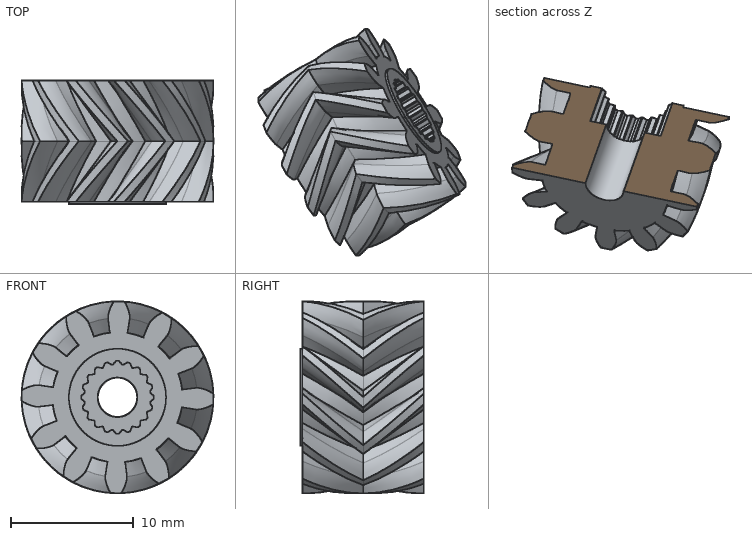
import cadquery as cq
import math


TOOTH_COUNT = 12
TIP_RADIUS = 7.83
MODULE = 2 * TIP_RADIUS / (TOOTH_COUNT + 2)
PITCH_RADIUS = MODULE * TOOTH_COUNT / 2
ROOT_RADIUS = PITCH_RADIUS - 1.25 * MODULE
PRESSURE_ANGLE = math.radians(14.5)
BASE_RADIUS = PITCH_RADIUS * math.cos(PRESSURE_ANGLE)
TOOTH_PITCH = 2 * math.pi / TOOTH_COUNT
INVOLUTE_STEPS = 6

TOTAL_LENGTH = 10.09
BOSS_HEIGHT = 0.19
FACE_WIDTH = TOTAL_LENGTH - BOSS_HEIGHT
HALF_WIDTH = FACE_WIDTH / 2
HALF_TWIST = 32.0
MIDDLE_PHASE = 33.0

BOSS_DIAMETER = 7.92
HOLE_DIAMETER = 3.2
SPLINE_COUNT = 20
SPLINE_BORE_RADIUS = 2.7
SPLINE_GROOVE_RADIUS = 2.96
GROOVE_FLOOR_WIDTH = 0.22
GROOVE_MOUTH_WIDTH = 0.75
SPLINE_DEPTH = 3.6


def polar(radius, angle):
    """Point at an angle (radians) measured counterclockwise from +Z, seen from -Y."""
    return (-radius * math.sin(angle), radius * math.cos(angle))


def involute_angle(radius):
    """Polar angle swept by the base-circle involute when it reaches a radius."""
    pressure = math.acos(BASE_RADIUS / radius)
    return math.tan(pressure) - pressure


BASE_HALF_ANGLE = TOOTH_PITCH / 4 + involute_angle(PITCH_RADIUS)


def flank(center, side):
    """Involute points from the base circle to the tip, on side -1 or +1 of a tooth."""
    points = []
    for step in range(INVOLUTE_STEPS + 1):
        radius = BASE_RADIUS + (TIP_RADIUS - BASE_RADIUS) * step / INVOLUTE_STEPS
        half_angle = BASE_HALF_ANGLE - involute_angle(radius)
        points.append(polar(radius, center + side * half_angle))
    return points


def gear_outline(workplane):
    """Closed outline of all teeth: radial below the base circle, involute above it."""
    start = -BASE_HALF_ANGLE
    outline = workplane.moveTo(*polar(ROOT_RADIUS, start))
    for tooth in range(TOOTH_COUNT):
        center = tooth * TOOTH_PITCH
        rising = flank(center, -1)
        falling = flank(center, 1)[::-1]
        next_start = center + TOOTH_PITCH - BASE_HALF_ANGLE
        outline = (
            outline.lineTo(*rising[0])
            .spline(rising[1:], includeCurrent=True)
            .threePointArc(polar(TIP_RADIUS, center), falling[0])
            .spline(falling[1:], includeCurrent=True)
            .lineTo(*polar(ROOT_RADIUS, center + BASE_HALF_ANGLE))
            .threePointArc(polar(ROOT_RADIUS, center + TOOTH_PITCH / 2), polar(ROOT_RADIUS, next_start))
        )
    return outline.close()


def herringbone_body():
    """Two mirrored helical halves that meet at the plane Y = 0."""
    front_half = gear_outline(cq.Workplane("XZ")).twistExtrude(HALF_WIDTH, HALF_TWIST)
    front_half = front_half.rotate((0, 0, 0), (0, 1, 0), MIDDLE_PHASE)
    return front_half.union(front_half.mirror("XZ"))


def front_boss():
    return cq.Workplane("XZ", origin=(0, -HALF_WIDTH, 0)).circle(BOSS_DIAMETER / 2).extrude(BOSS_HEIGHT)


def spline_cutter():
    """Bore with tapered grooves, entering from the front of the boss."""
    entry = cq.Workplane("XZ", origin=(0, -HALF_WIDTH - BOSS_HEIGHT, 0))
    bore = entry.circle(SPLINE_BORE_RADIUS).extrude(-SPLINE_DEPTH)
    mouth_height = math.sqrt(SPLINE_BORE_RADIUS**2 - (GROOVE_MOUTH_WIDTH / 2) ** 2)
    groove = (
        entry.polyline([
            (0, 0),
            (GROOVE_MOUTH_WIDTH / 2, mouth_height),
            (GROOVE_FLOOR_WIDTH / 2, SPLINE_GROOVE_RADIUS),
            (-GROOVE_FLOOR_WIDTH / 2, SPLINE_GROOVE_RADIUS),
            (-GROOVE_MOUTH_WIDTH / 2, mouth_height),
        ])
        .close()
        .extrude(-SPLINE_DEPTH)
    )
    for index in range(SPLINE_COUNT):
        bore = bore.union(groove.rotate((0, 0, 0), (0, 1, 0), index * 360 / SPLINE_COUNT))
    return bore


def through_hole():
    return cq.Workplane("XZ").circle(HOLE_DIAMETER / 2).extrude(TOTAL_LENGTH, both=True)


result = herringbone_body().union(front_boss()).cut(spline_cutter()).cut(through_hole())